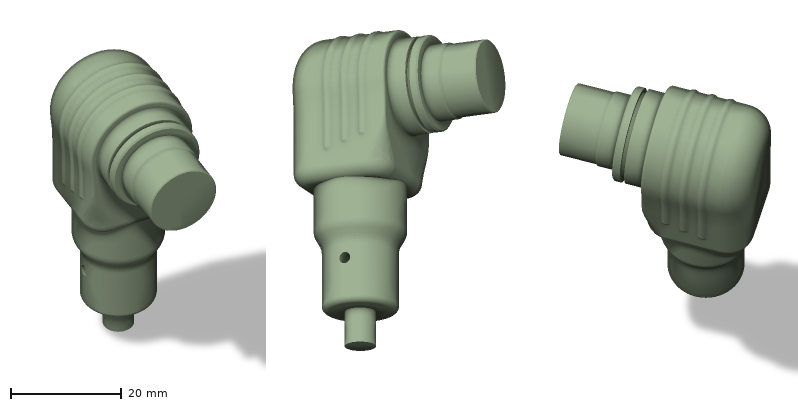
import cadquery as cq
import math


arc_mid_inset = 1 - math.sqrt(0.5)

overall_length_x = 36.4
overall_width_y = 21.6
overall_height_z = 58.85

rib_blend_radius = 1.0
rib_half_width = 1.05
rib_slope = math.asin(rib_half_width / (2 * rib_blend_radius))
rib_height = 2 * rib_blend_radius * (1 - math.cos(rib_slope))
rib_arc_mid_x = rib_blend_radius * math.sin(rib_slope / 2)
rib_arc_mid_rise = rib_blend_radius * (1 - math.cos(rib_slope / 2))
rib_root_depth = 0.3
rib_count = 3
first_rib_x = -2.2
rib_pitch = 3.5
first_rib_end_z = -12.65
rib_end_step = 1.0

crest_z = overall_width_y / 2
crown_radius = crest_z - rib_height
wall_half_width = 10.0
wall_blend_radius = 42.4
back_x = -10.55
front_x = 9.35
housing_bottom_z = -18.5
back_fillet = 5.0
front_fillet = 0.55
front_corner_radius = 4.4
bottom_fillet = 2.35
corner_full_z = -16.05
corner_transition = ((-9.2, 0.75), (-11.75, 2.0))

crown_end_angle = math.acos((wall_half_width + wall_blend_radius) / (crown_radius + wall_blend_radius))
wall_start_z = -(crown_radius + wall_blend_radius) * math.sin(crown_end_angle)

collar_radius = 17.7 / 2
collar_foot_fillet = 0.3
groove_start_x = 12.9
groove_end_x = 13.7
groove_radius = 16.0 / 2
flange_end_x = 15.25
flange_chamfer = 0.3
shoulder_radius = 14.0 / 2
shoulder_end_x = 18.6
nose_start_x = 18.95
nose_radius = 13.5 / 2
nose_end_x = back_x + overall_length_x
nose_chamfer = 0.2

sleeve_radius = 17.0 / 2
sleeve_end_z = -26.2
cone_start_z = -27.7
cone_end_z = -28.85
cone_drop = 0.65
neck_radius = 14.0 / 2
neck_start_z = -30.4
neck_bottom_z = -41.55
neck_fillet = 1.05
cable_radius = 5.7 / 2
cable_end_z = crest_z - overall_height_z
pin_hole_diameter = 2.1
pin_hole_z = -33.2


def mirrored(point):
    return (-point[0], point[1])


def arch_path(workplane):
    """Add the blend arc, the crown and the opposite blend arc, starting at the +Y wall."""
    blend_y = wall_half_width + wall_blend_radius
    mid_angle = crown_end_angle / 2
    wall_start = (wall_half_width, wall_start_z)
    blend_mid = (
        blend_y - wall_blend_radius * math.cos(mid_angle),
        wall_start_z + wall_blend_radius * math.sin(mid_angle),
    )
    crown_end = (
        crown_radius * math.cos(crown_end_angle),
        -crown_radius * math.sin(crown_end_angle),
    )
    return (
        workplane.threePointArc(blend_mid, crown_end)
        .threePointArc((0, crown_radius), mirrored(crown_end))
        .threePointArc(mirrored(blend_mid), mirrored(wall_start))
    )


def upper_housing():
    start = cq.Workplane("YZ", origin=(back_x, 0, 0)).moveTo(wall_half_width, wall_start_z)
    block = arch_path(start).close().extrude(front_x - back_x)
    block = block.faces("<X").edges("not <Z").fillet(back_fillet)
    return block.faces(">X").edges("not <Z").fillet(front_fillet)


def housing_section(z, corner_radius):
    """Horizontal outline of the housing walls with the given front corner radius."""
    back_inset = back_fillet * arc_mid_inset
    front_inset = corner_radius * arc_mid_inset
    w = wall_half_width
    return (
        cq.Workplane("XY", origin=(0, 0, z))
        .moveTo(back_x + back_fillet, -w)
        .lineTo(front_x - corner_radius, -w)
        .threePointArc((front_x - front_inset, front_inset - w), (front_x, corner_radius - w))
        .lineTo(front_x, w - corner_radius)
        .threePointArc((front_x - front_inset, w - front_inset), (front_x - corner_radius, w))
        .lineTo(back_x + back_fillet, w)
        .threePointArc((back_x + back_inset, w - back_inset), (back_x, w - back_fillet))
        .lineTo(back_x, back_fillet - w)
        .threePointArc((back_x + back_inset, back_inset - w), (back_x + back_fillet, -w))
        .close()
    )


def lower_housing():
    """Walls whose front corners grow rounder downward, above a rounded floor."""
    corners = (
        (wall_start_z, front_fillet),
        *corner_transition,
        (corner_full_z, front_corner_radius),
    )
    sections = [housing_section(z, radius).val() for z, radius in corners]
    walls = cq.Workplane(cq.Solid.makeLoft(sections))
    floor = housing_section(corner_full_z, front_corner_radius).extrude(housing_bottom_z - corner_full_z)
    return walls.union(floor.faces("<Z").edges().fillet(bottom_fillet))


def rib_half_profile(workplane):
    """Add one flank of the rib, from its foot to its crest."""
    inflection = (rib_half_width / 2, rib_height / 2)
    return (
        workplane.lineTo(rib_half_width, 0)
        .threePointArc((rib_half_width - rib_arc_mid_x, rib_arc_mid_rise), inflection)
        .threePointArc((rib_arc_mid_x, rib_height - rib_arc_mid_rise), (0, rib_height))
    )


def rib(x, end_z):
    """One rib running over the crown, with a rounded end on each wall."""
    start = cq.Workplane("YZ", origin=(x, 0, 0)).moveTo(wall_half_width, end_z)
    path = arch_path(start.lineTo(wall_half_width, wall_start_z)).lineTo(-wall_half_width, end_z)
    foot_plane = cq.Plane(origin=(x, wall_half_width, end_z), xDir=(1, 0, 0), normal=(0, 0, 1))
    profile = rib_half_profile(cq.Workplane(foot_plane).moveTo(rib_half_width, -rib_root_depth))
    profile = (
        profile.threePointArc(
            (-rib_arc_mid_x, rib_height - rib_arc_mid_rise),
            (-rib_half_width / 2, rib_height / 2),
        )
        .threePointArc((rib_arc_mid_x - rib_half_width, rib_arc_mid_rise), (-rib_half_width, 0))
        .lineTo(-rib_half_width, -rib_root_depth)
        .close()
    )
    band = profile.sweep(path)
    cap = rib_half_profile(
        cq.Workplane(foot_plane).moveTo(0, -rib_root_depth).lineTo(rib_half_width, -rib_root_depth)
    )
    cap = cap.close().revolve(360, (0, 0), (0, 1))
    return band.union(cap).union(cap.mirror("XZ"))


def connector():
    foot_x = front_x + collar_foot_fillet
    foot_radius = collar_radius + collar_foot_fillet
    foot_inset = collar_foot_fillet * arc_mid_inset
    return (
        cq.Workplane("XZ")
        .moveTo(0, 0)
        .lineTo(0, foot_radius)
        .lineTo(front_x, foot_radius)
        .threePointArc((front_x + foot_inset, collar_radius + foot_inset), (foot_x, collar_radius))
        .lineTo(groove_start_x, collar_radius)
        .lineTo(groove_start_x, groove_radius)
        .lineTo(groove_end_x, groove_radius)
        .lineTo(groove_end_x, collar_radius)
        .lineTo(flange_end_x - flange_chamfer, collar_radius)
        .lineTo(flange_end_x, collar_radius - flange_chamfer)
        .lineTo(flange_end_x, shoulder_radius)
        .lineTo(shoulder_end_x, shoulder_radius)
        .lineTo(nose_start_x, nose_radius)
        .lineTo(nose_end_x - nose_chamfer, nose_radius)
        .lineTo(nose_end_x, nose_radius - nose_chamfer)
        .lineTo(nose_end_x, 0)
        .close()
        .revolve(360, (0, 0), (1, 0))
    )


def cable_sleeve():
    """Sleeve tapering to the neck through two arcs and a short cone, with the cable below."""
    convex_height = sleeve_end_z - cone_start_z
    concave_height = cone_end_z - neck_start_z
    arc_taper = (sleeve_radius - neck_radius - cone_drop) / (convex_height + concave_height)
    cone_top_radius = sleeve_radius - convex_height * arc_taper
    cone_bottom_radius = neck_radius + concave_height * arc_taper
    return (
        cq.Workplane("XZ")
        .moveTo(0, 0)
        .lineTo(sleeve_radius, 0)
        .lineTo(sleeve_radius, sleeve_end_z)
        .tangentArcPoint((cone_top_radius, cone_start_z), relative=False)
        .lineTo(cone_bottom_radius, cone_end_z)
        .tangentArcPoint((neck_radius, neck_start_z), relative=False)
        .lineTo(neck_radius, neck_bottom_z + neck_fillet)
        .tangentArcPoint((neck_radius - neck_fillet, neck_bottom_z), relative=False)
        .lineTo(cable_radius, neck_bottom_z)
        .lineTo(cable_radius, cable_end_z)
        .lineTo(0, cable_end_z)
        .close()
        .revolve(360, (0, 0), (0, 1))
    )


def pin_hole():
    """Blind hole from the -Y side of the neck to the cable surface."""
    return (
        cq.Workplane("XZ", origin=(0, -cable_radius, pin_hole_z))
        .circle(pin_hole_diameter / 2)
        .extrude(neck_radius)
    )


result = upper_housing().union(lower_housing())
for index in range(rib_count):
    result = result.union(rib(first_rib_x + index * rib_pitch, first_rib_end_z + index * rib_end_step))
result = result.union(connector()).union(cable_sleeve()).cut(pin_hole())